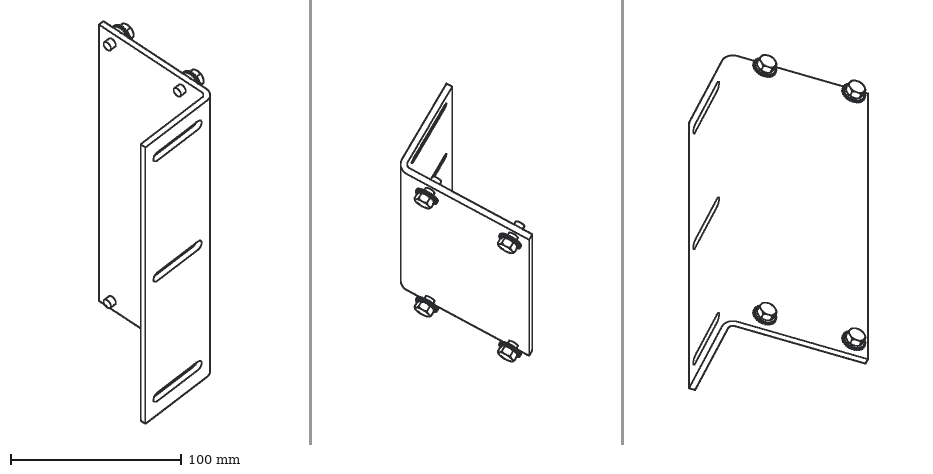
import cadquery as cq
import math

bracket_width = 89.5
bracket_depth = 60.0
bracket_height = 230.0
sheet_thickness = 4.0
bend_inner_radius = 3.0
bend_outer_radius = bend_inner_radius + sheet_thickness

slot_length = 41.6
slot_height = 7.0
slot_edge_gap = 7.0
slot_pitch = 100.0
slot_count = 3

screw_left_inset = 10.5
screw_end_inset = 7.8
screw_pitch_x = 56.1
shank_diameter = 6.0
tip_projection = 4.1
flange_standoff = 3.2
total_depth = 69.5

head_top = total_depth - bracket_depth
flange_diameter = 14.3
flange_thickness = 1.5
hex_across_flats = 10.0
hex_across_corners = hex_across_flats / math.cos(math.pi / 6)
hex_chamfer = 0.7
tooth_count = 30
tooth_depth = 0.7


def make_bracket():
    """Bent sheet with screw holes in the wide leg and slots in the short leg."""
    inner_face_x = bracket_width - sheet_thickness
    bracket = (
        cq.Workplane("XY")
        .moveTo(0, 0)
        .lineTo(bracket_width - bend_outer_radius, 0)
        .radiusArc((bracket_width, -bend_outer_radius), bend_outer_radius)
        .lineTo(bracket_width, -bracket_depth)
        .lineTo(inner_face_x, -bracket_depth)
        .lineTo(inner_face_x, -bend_outer_radius)
        .radiusArc((bracket_width - bend_outer_radius, -sheet_thickness), -bend_inner_radius)
        .lineTo(0, -sheet_thickness)
        .close()
        .extrude(bracket_height)
    )

    slot_center_y = -bracket_depth + slot_edge_gap + slot_length / 2
    slots = (
        cq.Workplane("YZ", origin=(inner_face_x, slot_center_y, bracket_height / 2))
        .rarray(2.3, slot_pitch, 1, slot_count)
        .slot2D(slot_length, slot_height)
        .extrude(sheet_thickness)
    )

    screw_holes = (
        cq.Workplane("XZ")
        .pushPoints(screw_places())
        .circle(shank_diameter / 2)
        .extrude(sheet_thickness)
    )
    return bracket.cut(slots).cut(screw_holes)


def screw_places():
    """Screw axes as (x, z) pairs."""
    columns = (screw_left_inset, screw_left_inset + screw_pitch_x)
    rows = (screw_end_inset, bracket_height - screw_end_inset)
    return [(x, z) for x in columns for z in rows]


def make_notched_flange():
    """Disc whose rim carries evenly spaced V-shaped teeth, resting on Z = 0."""
    tip_radius = flange_diameter / 2
    root_radius = tip_radius - tooth_depth
    half_step = math.pi / tooth_count
    rim = []
    for index in range(2 * tooth_count):
        radius = tip_radius if index % 2 == 0 else root_radius
        angle = index * half_step
        rim.append((radius * math.cos(angle), radius * math.sin(angle)))
    return cq.Workplane("XY").polyline(rim).close().extrude(flange_thickness)


def make_hex_head(height):
    """Hexagon from Z = 0 with its corners turned down to cones at both ends."""
    corner_radius = hex_across_corners / 2
    end_radius = corner_radius - hex_chamfer
    hexagon = cq.Workplane("XY").polygon(6, hex_across_corners).extrude(height)
    turned_blank = (
        cq.Workplane("XZ")
        .polyline([
            (0, 0),
            (end_radius, 0),
            (corner_radius, hex_chamfer),
            (corner_radius, height - hex_chamfer),
            (end_radius, height),
            (0, height),
        ])
        .close()
        .revolve(360, (0, 0), (0, 1))
    )
    return hexagon.intersect(turned_blank)


def make_screw():
    """Screw along Y, centered on X = Z = 0, with its head on the +Y side."""
    shank_length = flange_standoff + sheet_thickness + tip_projection
    hex_height = head_top - flange_standoff - flange_thickness
    shank = cq.Workplane("XY").circle(shank_diameter / 2).extrude(-shank_length)
    head = make_hex_head(hex_height).translate((0, 0, flange_thickness))
    screw = make_notched_flange().union(head).union(shank)
    return screw.rotate((0, 0, 0), (1, 0, 0), -90).translate((0, flange_standoff, 0))


bracket = make_bracket()

screws = []
for x, z in screw_places():
    screws.append(make_screw().translate((x, 0, z)).val())

result = cq.Compound.makeCompound([bracket.val(), *screws])